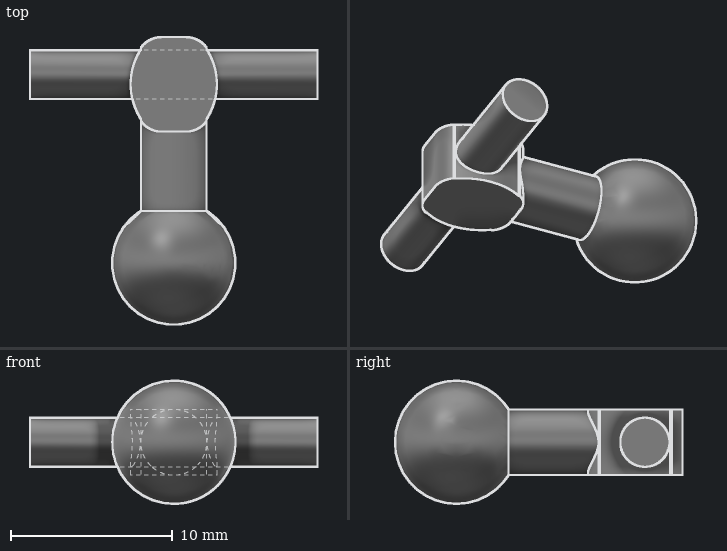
import cadquery as cq
import math

pin_length = 17.78
pin_diameter = 3.04

overall_depth = 17.78
ball_diameter = 7.63
stem_diameter = 4.07
block_height = stem_diameter
block_depth = 5.85
block_width = 5.33
shoulder_width = stem_diameter
pin_to_block_back = 2.33
corner_radius = 1.58
corner_depth = 0.65
shoulder_flat = 0.1

block_back = pin_to_block_back
block_center_y = block_back - block_depth / 2
ball_center_y = block_back - overall_depth + ball_diameter / 2


def make_pin():
    """Plain round bar along X."""
    return cq.Workplane("YZ").circle(pin_diameter / 2).extrude(pin_length / 2, both=True)


def make_block():
    """Block with bulged sides and corners rounded tangent to the end faces."""
    bulge_x = block_width / 2
    shoulder_x = shoulder_width / 2
    end_y = block_depth / 2
    corner_y = end_y - corner_depth
    bulge_end_y = corner_y - shoulder_flat

    corner_run = math.sqrt(corner_radius**2 - (corner_radius - corner_depth) ** 2)
    end_flat_x = shoulder_x - corner_run
    half_angle = math.asin(corner_run / corner_radius) / 2
    mid_x = end_flat_x + corner_radius * math.sin(half_angle)
    mid_y = end_y - corner_radius * (1 - math.cos(half_angle))

    return (
        cq.Workplane("XY", origin=(0, block_center_y, 0))
        .moveTo(-end_flat_x, end_y)
        .lineTo(end_flat_x, end_y)
        .threePointArc((mid_x, mid_y), (shoulder_x, corner_y))
        .lineTo(shoulder_x, bulge_end_y)
        .threePointArc((bulge_x, 0), (shoulder_x, -bulge_end_y))
        .lineTo(shoulder_x, -corner_y)
        .threePointArc((mid_x, -mid_y), (end_flat_x, -end_y))
        .lineTo(-end_flat_x, -end_y)
        .threePointArc((-mid_x, -mid_y), (-shoulder_x, -corner_y))
        .lineTo(-shoulder_x, -bulge_end_y)
        .threePointArc((-bulge_x, 0), (-shoulder_x, bulge_end_y))
        .lineTo(-shoulder_x, corner_y)
        .threePointArc((-mid_x, mid_y), (-end_flat_x, end_y))
        .close()
        .extrude(block_height / 2, both=True)
    )


def make_stem():
    """Round stem from inside the block to the ball center."""
    return (
        cq.Workplane("XZ", origin=(0, block_center_y, 0))
        .circle(stem_diameter / 2)
        .extrude(block_center_y - ball_center_y)
    )


def make_ball():
    return cq.Workplane("XY", origin=(0, ball_center_y, 0)).sphere(ball_diameter / 2)


def make_ball_lever(pin):
    """Block, stem and ball in one piece, with a through hole that fits the pin."""
    return make_block().union(make_stem()).union(make_ball()).cut(pin)


cross_pin = make_pin()
ball_lever = make_ball_lever(cross_pin)

result = cq.Compound.makeCompound([cross_pin.val(), ball_lever.solids().val()])